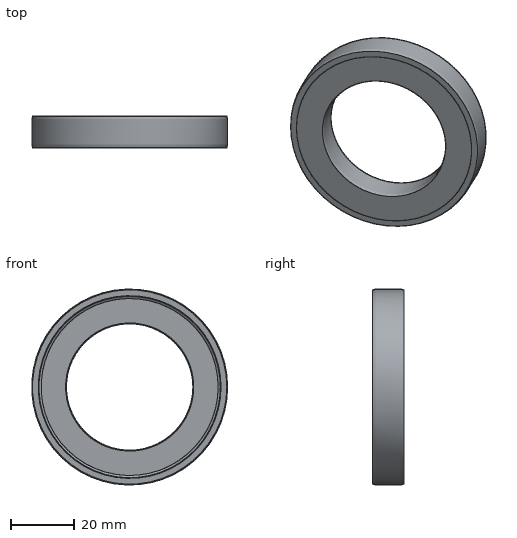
import cadquery as cq

OUTER_DIAMETER = 62.0
BORE_DIAMETER = 40.0
WIDTH = 10.0

EDGE_CHAMFER_AXIAL = 1.0
EDGE_CHAMFER_RADIAL = 0.265

SEAT_DIAMETER = 57.65
RING_CLEARANCE = 0.05

FACE_DIAMETER = 56.0
RIM_SETBACK = 0.2
CONE_DEPTH = 0.5

outer_radius = OUTER_DIAMETER / 2
bore_radius = BORE_DIAMETER / 2
seat_radius = SEAT_DIAMETER / 2
inner_ring_radius = seat_radius - RING_CLEARANCE
face_radius = FACE_DIAMETER / 2
front_y = -WIDTH / 2
back_y = WIDTH / 2


def revolve_about_y(profile_points):
    """Turn a closed half-section, given as (radius, y) points, around the Y axis."""
    section = cq.Workplane("XY").polyline(profile_points).close()
    return section.revolve(360, (0, 0, 0), (0, 1, 0))


def make_outer_ring():
    """Outer ring with a plain cylindrical inside and a chamfered rim."""
    side_face_radius = outer_radius - EDGE_CHAMFER_RADIAL
    return revolve_about_y([
        (seat_radius, front_y),
        (side_face_radius, front_y),
        (outer_radius, front_y + EDGE_CHAMFER_AXIAL),
        (outer_radius, back_y - EDGE_CHAMFER_AXIAL),
        (side_face_radius, back_y),
        (seat_radius, back_y),
    ])


def make_inner_ring():
    """Inner ring with a chamfered bore and a conical trough around its flat front face."""
    chamfer_edge_radius = bore_radius + EDGE_CHAMFER_RADIAL
    rim_y = front_y + RIM_SETBACK
    return revolve_about_y([
        (bore_radius, front_y + EDGE_CHAMFER_AXIAL),
        (chamfer_edge_radius, front_y),
        (face_radius, front_y),
        (face_radius, rim_y + CONE_DEPTH),
        (inner_ring_radius, rim_y),
        (inner_ring_radius, back_y),
        (chamfer_edge_radius, back_y),
        (bore_radius, back_y - EDGE_CHAMFER_AXIAL),
    ])


outer_ring = make_outer_ring()
inner_ring = make_inner_ring()

result = cq.Compound.makeCompound([outer_ring.val(), inner_ring.val()])